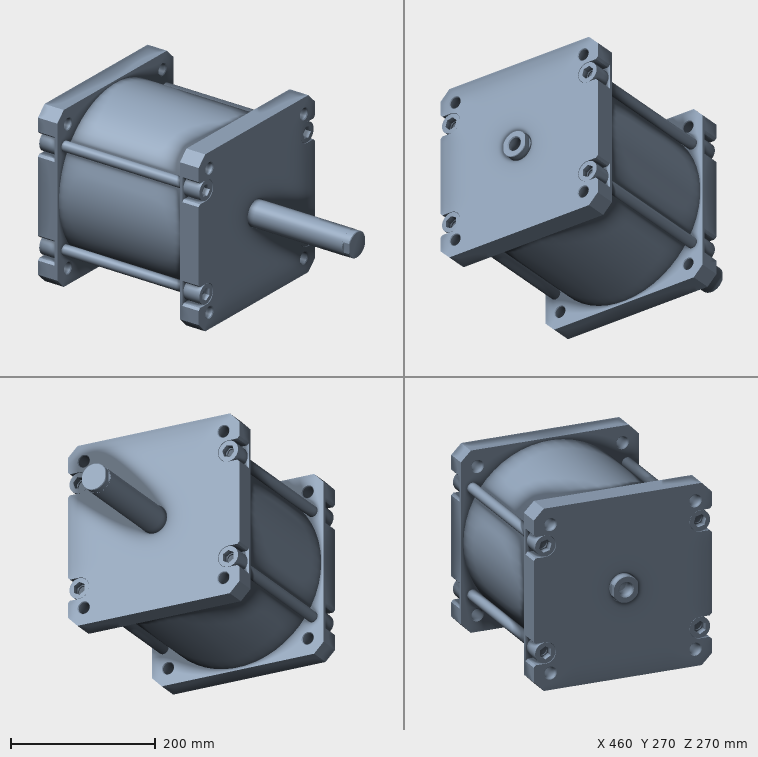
import cadquery as cq
import math

STUB_LENGTH = 11.5
REAR_THICKNESS = 33.0
BARREL_LENGTH = 210.5
FRONT_THICKNESS = 32.0
SHAFT_LENGTH = 460.0

REAR_OUTER_X = STUB_LENGTH
REAR_INNER_X = REAR_OUTER_X + REAR_THICKNESS
FRONT_INNER_X = REAR_INNER_X + BARREL_LENGTH
FRONT_OUTER_X = FRONT_INNER_X + FRONT_THICKNESS

PLATE_SIDE = 270.0
PLATE_CHAMFER = 15.0
MOUNT_HOLE_DIAMETER = 17.0
MOUNT_HOLE_CHAMFER = 1.15
MOUNT_HOLE_OFFSET = 110.0
BORE_CHAMFER = 1.5

BARREL_DIAMETER = 262.0

ROD_DIAMETER = 16.0
ROD_Y = 117.5
ROD_Z = 79.0
ROD_CENTRES = [(y, z) for y in (-ROD_Y, ROD_Y) for z in (-ROD_Z, ROD_Z)]
HEAD_DIAMETER = 31.0
HEAD_RECESS = 0.5
HEAD_LENGTH = 27.5
SOCKET_CORNER_DIAMETER = 19.5
SOCKET_DEPTH = 10.0
RELIEF_DIAMETER = 14.3
RELIEF_DEPTH = 2.5
UPPER_SOCKET_TURN = 47.0
LOWER_SOCKET_TURN = 30.0

POCKET_DEPTH = HEAD_LENGTH + HEAD_RECESS
POCKET_WIDTH = 31.7
POCKET_MOUTH_CHAMFER = 3.0

SHAFT_DIAMETER = 40.0
TIP_DIAMETER = 39.5
TIP_LENGTH = 11.5
FLATS_WIDTH = 36.5
SHAFT_END_CHAMFER = 1.0
CENTRE_HOLE_DIAMETER = 20.2
CENTRE_HOLE_CHAMFER = 1.5
CENTRE_HOLE_DEPTH = 23.0
DRILL_POINT_ANGLE = 118.0


def plane_at(x):
    """YZ sketch plane at x: local axes are +Y and +Z, and extrusion goes toward +X."""
    return cq.Workplane("YZ", origin=(x, 0, 0))


def cylinder_x(x, length, diameter):
    return plane_at(x).circle(diameter / 2).extrude(length)


def make_pockets(x):
    """Four U-shaped head pockets, open through the plate sides with chamfered mouths."""
    half_width = POCKET_WIDTH / 2
    half_mouth = half_width + POCKET_MOUTH_CHAMFER
    edge_y = PLATE_SIDE / 2
    throat_y = edge_y - POCKET_MOUTH_CHAMFER
    one_pocket = (
        plane_at(x)
        .moveTo(ROD_Y, ROD_Z + half_width)
        .lineTo(throat_y, ROD_Z + half_width)
        .lineTo(edge_y, ROD_Z + half_mouth)
        .lineTo(edge_y, ROD_Z - half_mouth)
        .lineTo(throat_y, ROD_Z - half_width)
        .lineTo(ROD_Y, ROD_Z - half_width)
        .threePointArc((ROD_Y - half_width, ROD_Z), (ROD_Y, ROD_Z + half_width))
        .close()
        .extrude(POCKET_DEPTH)
    )
    side_pair = one_pocket.union(one_pocket.mirror("XY"))
    return side_pair.union(side_pair.mirror("XZ"))


def make_mount_holes(start_x, length):
    return (
        plane_at(start_x)
        .rect(2 * MOUNT_HOLE_OFFSET, 2 * MOUNT_HOLE_OFFSET, forConstruction=True)
        .vertices()
        .circle(MOUNT_HOLE_DIAMETER / 2)
        .extrude(length)
    )


def make_plate(start_x, thickness, outer_face, pocket_x):
    """Square end plate; outer_face selects the face away from the barrel."""
    plate = (
        plane_at(start_x)
        .rect(PLATE_SIDE, PLATE_SIDE)
        .extrude(thickness)
        .edges("|X")
        .chamfer(PLATE_CHAMFER)
    )
    bore = cylinder_x(start_x, thickness, SHAFT_DIAMETER)
    plate = plate.cut(bore).faces(outer_face).edges("%CIRCLE").chamfer(BORE_CHAMFER)
    plate = (
        plate.cut(make_mount_holes(start_x, thickness))
        .faces("<X or >X")
        .edges(cq.selectors.RadiusNthSelector(0))
        .chamfer(MOUNT_HOLE_CHAMFER)
    )
    rod_holes = plane_at(start_x).pushPoints(ROD_CENTRES).circle(ROD_DIAMETER / 2).extrude(thickness)
    return plate.cut(rod_holes).cut(make_pockets(pocket_x))


def make_barrel():
    barrel = cylinder_x(REAR_INNER_X, BARREL_LENGTH, BARREL_DIAMETER)
    return barrel.cut(cylinder_x(REAR_INNER_X, BARREL_LENGTH, SHAFT_DIAMETER))


def make_socket(face_x, inward, turn):
    """Hexagon socket cut inward (+1 or -1 along X) from a head face, with a round recess in its floor."""
    hexagon = (
        plane_at(face_x)
        .polygon(6, SOCKET_CORNER_DIAMETER)
        .extrude(inward * SOCKET_DEPTH)
        .rotate((0, 0, 0), (1, 0, 0), turn)
    )
    relief = cylinder_x(face_x, inward * (SOCKET_DEPTH + RELIEF_DEPTH), RELIEF_DIAMETER)
    return hexagon.union(relief)


def make_tie_rod(y, z):
    """Rod with a socket head at each end."""
    rear_face_x = REAR_OUTER_X + HEAD_RECESS
    front_face_x = FRONT_OUTER_X - HEAD_RECESS
    turn = UPPER_SOCKET_TURN if z > 0 else LOWER_SOCKET_TURN
    rod = cylinder_x(rear_face_x, front_face_x - rear_face_x, ROD_DIAMETER)
    for face_x, inward in ((rear_face_x, 1), (front_face_x, -1)):
        rod = rod.union(cylinder_x(face_x, inward * HEAD_LENGTH, HEAD_DIAMETER))
        rod = rod.cut(make_socket(face_x, inward, turn))
    return rod.translate((0, y, z))


def make_flat_cutter(end_x, length, inward):
    """Material beside both flats; each flat ends in a 45 degree slope that meets the shaft surface."""
    flat_y = FLATS_WIDTH / 2
    outer_y = SHAFT_DIAMETER / 2
    slope_length = outer_y - flat_y
    one_side = (
        cq.Workplane("XY", origin=(0, 0, -SHAFT_DIAMETER / 2))
        .polyline([
            (end_x, flat_y),
            (end_x + inward * (length - slope_length), flat_y),
            (end_x + inward * length, outer_y),
            (end_x, outer_y),
        ])
        .close()
        .extrude(SHAFT_DIAMETER)
    )
    return one_side.union(one_side.mirror("XZ"))


def make_centre_hole():
    """Blind hole in the rear end with a drill-point bottom."""
    radius = CENTRE_HOLE_DIAMETER / 2
    point_depth = radius / math.tan(math.radians(DRILL_POINT_ANGLE / 2))
    return (
        cq.Workplane("XY")
        .polyline([
            (0, 0),
            (0, radius + CENTRE_HOLE_CHAMFER),
            (CENTRE_HOLE_CHAMFER, radius),
            (CENTRE_HOLE_DEPTH, radius),
            (CENTRE_HOLE_DEPTH + point_depth, 0),
        ])
        .close()
        .revolve(360, (0, 0, 0), (1, 0, 0))
    )


def make_shaft():
    tip_x = SHAFT_LENGTH - TIP_LENGTH
    shaft = cylinder_x(0, tip_x, SHAFT_DIAMETER).union(cylinder_x(tip_x, TIP_LENGTH, TIP_DIAMETER))
    shaft = shaft.faces("<X or >X").edges().chamfer(SHAFT_END_CHAMFER)
    shaft = shaft.cut(make_flat_cutter(0, STUB_LENGTH, 1))
    shaft = shaft.cut(make_flat_cutter(SHAFT_LENGTH, TIP_LENGTH, -1))
    return shaft.cut(make_centre_hole())


rear_plate = make_plate(REAR_OUTER_X, REAR_THICKNESS, "<X", REAR_OUTER_X)
front_plate = make_plate(FRONT_INNER_X, FRONT_THICKNESS, ">X", FRONT_OUTER_X - POCKET_DEPTH)
barrel = make_barrel()
shaft = make_shaft()
tie_rods = [make_tie_rod(y, z) for y, z in ROD_CENTRES]

result = cq.Compound.makeCompound([
    rear_plate.val(),
    front_plate.val(),
    barrel.val(),
    shaft.val(),
    *[rod.val() for rod in tie_rods],
])